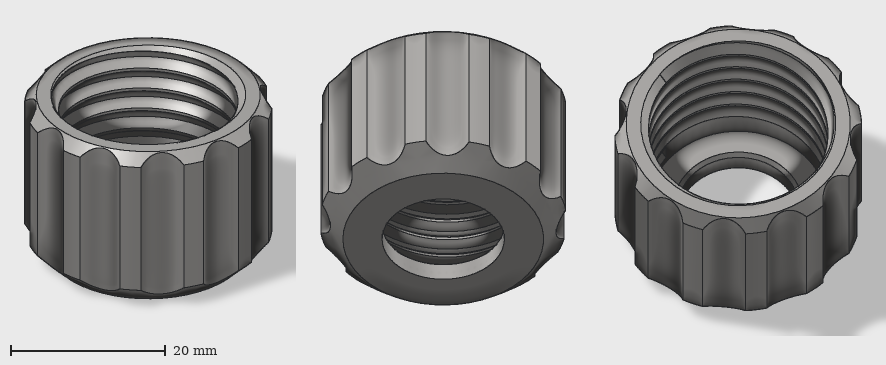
import cadquery as cq

height = 23.0
outer_radius = 16.0
top_chamfer = 1.5
bottom_chamfer = 3.02

flute_count = 12
flute_radius = 4.0
flute_floor_radius = 14.62

bore_radius = 23.2 / 2
floor_thickness = 3.0
hole_radius = 15.8 / 2
hole_chamfer = 0.5
mouth_chamfer = 1.0

pitch = 3.0
groove_depth = 1.07
upper_flank_height = 0.7
lower_flank_height = 1.1
crest_height = 0.4
root_height = pitch - crest_height - upper_flank_height - lower_flank_height
thread_turns = 6
first_groove_drop = 1.48
bore_overlap = 0.13


def make_body():
    """Round body with a conical chamfer at each end."""
    body = cq.Workplane("XY").circle(outer_radius).extrude(height)
    body = body.faces(">Z").chamfer(top_chamfer)
    return body.faces("<Z").chamfer(bottom_chamfer)


def make_flutes():
    """Ring of vertical cylinders that scallop the outside."""
    return (
        cq.Workplane("XY")
        .polarArray(flute_floor_radius + flute_radius, 0, 360, flute_count)
        .circle(flute_radius)
        .extrude(height)
    )


def make_cavity():
    """Stepped bore: chamfered mouth, blind bore and chamfered through hole.

    The profile is drawn on YZ so that its seam stays clear of the thread seam on +X.
    """
    return (
        cq.Workplane("YZ")
        .moveTo(0, 0)
        .lineTo(hole_radius, 0)
        .lineTo(hole_radius, floor_thickness - hole_chamfer)
        .lineTo(hole_radius + hole_chamfer, floor_thickness)
        .lineTo(bore_radius, floor_thickness)
        .lineTo(bore_radius, height - mouth_chamfer)
        .lineTo(bore_radius + mouth_chamfer, height)
        .lineTo(0, height)
        .close()
        .revolve(360, (0, 0, 0), (0, 1, 0))
    )


def make_thread_cutter():
    """Helical groove with a flat root; its last turn runs out above the mouth."""
    upper_edge = height - first_groove_drop - (thread_turns - 1) * pitch
    upper_root = upper_edge - upper_flank_height
    lower_root = upper_root - root_height
    lower_edge = lower_root - lower_flank_height
    inner_radius = bore_radius - bore_overlap
    root_radius = bore_radius + groove_depth

    upper_extra = upper_flank_height * bore_overlap / groove_depth
    lower_extra = lower_flank_height * bore_overlap / groove_depth
    path = cq.Wire.makeHelix(pitch, thread_turns * pitch, bore_radius)
    return (
        cq.Workplane("XZ")
        .moveTo(inner_radius, lower_edge - lower_extra)
        .lineTo(root_radius, lower_root)
        .lineTo(root_radius, upper_root)
        .lineTo(inner_radius, upper_edge + upper_extra)
        .close()
        .sweep(cq.Workplane(path.translate(cq.Vector(0, 0, lower_edge))), isFrenet=True)
    )


result = make_body().cut(make_cavity()).cut(make_thread_cutter()).cut(make_flutes())